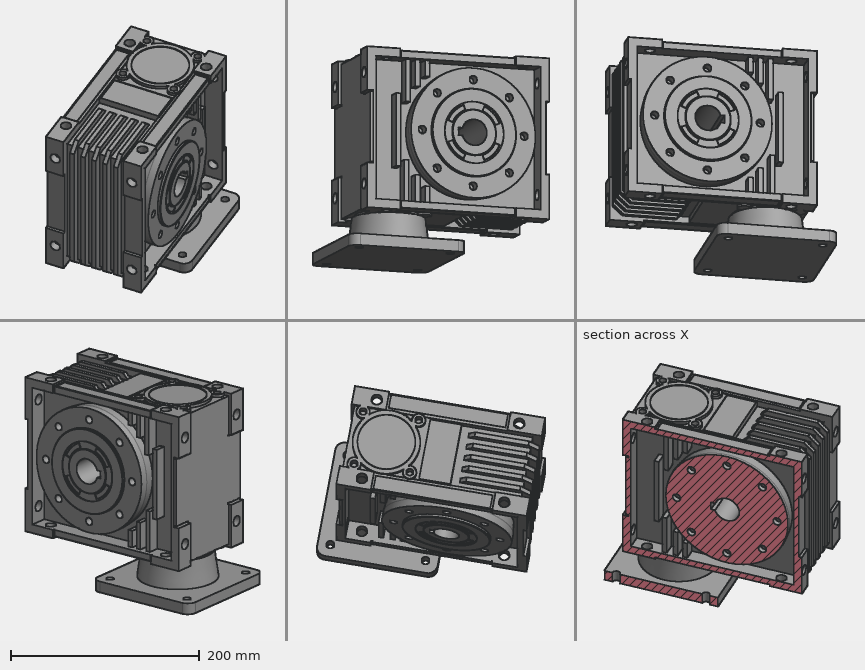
import cadquery as cq
import math


housing_front_y = -85.9
housing_rear_y = 119.0
housing_height = 173.8
housing_center_z = -0.7
housing_half_height = housing_height / 2
housing_length = housing_rear_y - housing_front_y
housing_center_y = (housing_rear_y + housing_front_y) / 2

frame_inner_x = 35.5
frame_outer_x = 56.3
frame_wall = 9.7
pocket_half_height = housing_half_height - frame_wall
corner_pad_length = 37.0
bar_half_height = 39.3
front_relief = 3.5
rear_relief = 6.5
cap_relief = 2.3
side_relief = 1.1
strip_height = 0.5
strip_inner_x = 38.9
strip_outer_x = 54.0
strip_end_gap = 2.5
panel_front_gap = 1.0
panel_rear_gap = 1.5
rear_plate_inset = 0.2
rear_plate_end_gap = 1.4
mount_hole_dia = 11.3
mount_hole_x = 45.2
mount_hole_z = 60.1
mount_hole_front_y = -60.0
mount_hole_rear_y = 93.5

core_front_y = housing_front_y + frame_wall
core_rear_y = 115.7
block_front_y = 0.2
block_half_height = 83.6
name_pad_width = 68.3
name_pad_length = 33.7
name_pad_height = 1.0

fin_count = 5
fin_pitch = 12.9
fin_width = 5.0
fin_front_y = -85.0
fin_rear_y = -8.8
fin_half_height = 84.0
fin_chamfer_y = 11.3
fin_chamfer_z = 10.2
fin_height = fin_half_height - pocket_half_height

flange_size = 130.0
flange_rear_y = 140.1
input_y = flange_rear_y - flange_size / 2
ring_radius = 36.0
cover_radius = 30.7
cover_recess = 1.0
ear_count = 4
ear_radius = 7.2
ear_circle_radius = 42.3
ear_first_angle = 45.9
ear_hole_dia = 7.7
ear_hole_depth = 9.0
cone_top_radius = 39.0
cone_bottom_radius = 43.5
cone_height = 30.7
flange_thickness = 12.5
flange_corner_radius = 10.0
flange_hole_spacing = 102.5
flange_hole_dia = 8.4

disc_radius = 70.0
disc_root_radius = 68.5
disc_rim_x = 48.1
disc_outer_x = 57.0
boss_radius = 47.5
boss_outer_x = 60.3
disc_hole_count = 8
disc_hole_circle_radius = 57.5
disc_hole_dia = 8.4
disc_hole_depth = 11.3
seal_outer_radius = 33.2
seal_recess = 1.0
hub_radius = 24.9
hub_chamfer = 0.7
boss_chamfer = 0.7
window_count = 4
window_angle = 46.0
window_inner_radius = 25.8
window_outer_radius = 31.2
window_depth = 1.0
bore_radius = 14.0
key_width = 8.4
key_top = 17.9

rib_width = 5.2
rib_height = 13.0
center_rib_y = 81.4
upper_ribs = ((70.5, 45.7), (59.7, 28.5), (48.8, 17.2))
lower_ribs = ((72.3, 45.7), (59.7, 30.3), (48.8, 18.8))


def block(x_range, y_range, z_range):
    """Box spanning the given ranges."""
    sizes = [high - low for low, high in (x_range, y_range, z_range)]
    corner = cq.Vector(x_range[0], y_range[0], z_range[0])
    return cq.Workplane("XY").box(*sizes, centered=False).translate(corner)


def disc(radius, start_x, end_x):
    """Solid cylinder on the output axis."""
    return cq.Workplane("YZ", origin=(start_x, 0, 0)).circle(radius).extrude(end_x - start_x)


def centered_z(half_height):
    """Z range centred on the housing."""
    return (housing_center_z - half_height, housing_center_z + half_height)


def frame():
    """Side frame on +X: a walled rectangle with raised corner pads and cross-drilled walls."""
    x_range = (frame_inner_x, frame_outer_x)
    tall_z = centered_z(housing_half_height)
    body = block(x_range, (housing_front_y, housing_rear_y), tall_z)

    bar_z = (-bar_half_height, bar_half_height)
    body = body.cut(block(x_range, (housing_front_y, housing_front_y + front_relief), bar_z))
    body = body.cut(block(x_range, (housing_rear_y - rear_relief, housing_rear_y), bar_z))
    plate_x = (frame_inner_x, frame_outer_x - rear_plate_inset)
    plate_y = (housing_rear_y - rear_relief, core_rear_y)
    plate_half_height = bar_half_height - rear_plate_end_gap
    body = body.union(block(plate_x, plate_y, (-plate_half_height, plate_half_height)))

    bar_y = (housing_front_y + corner_pad_length, housing_rear_y - corner_pad_length)
    panel_x = (frame_inner_x, frame_outer_x - side_relief)
    panel_y = (bar_y[0] + panel_front_gap, bar_y[1] - panel_rear_gap)
    strip_x = (strip_inner_x, strip_outer_x)
    strip_y = (bar_y[0] + strip_end_gap, bar_y[1] - strip_end_gap)
    bar_half_thickness = housing_half_height - cap_relief
    bar_core = block((frame_inner_x, strip_outer_x), bar_y, centered_z(bar_half_thickness))
    bar_panels = block(panel_x, panel_y, centered_z(bar_half_thickness))
    bar_strips = block(strip_x, strip_y, centered_z(bar_half_thickness + strip_height))
    body = body.cut(block(x_range, bar_y, tall_z)).union(bar_core)
    body = body.union(bar_panels).union(bar_strips)

    pocket_y = (housing_front_y + frame_wall, housing_rear_y - frame_wall)
    body = body.cut(block(x_range, pocket_y, centered_z(pocket_half_height)))

    long_holes = (
        cq.Workplane("XZ", origin=(mount_hole_x, housing_center_y, 0))
        .pushPoints([(0, mount_hole_z), (0, -mount_hole_z)])
        .circle(mount_hole_dia / 2)
        .extrude(housing_length / 2, both=True)
    )
    upright_holes = (
        cq.Workplane("XY", origin=(mount_hole_x, 0, housing_center_z))
        .pushPoints([(0, mount_hole_front_y), (0, mount_hole_rear_y)])
        .circle(mount_hole_dia / 2)
        .extrude(housing_half_height, both=True)
    )
    return body.cut(long_holes).cut(upright_holes)


def core():
    """Central casting with a taller rear block and a name plate pad on top."""
    x_range = (-frame_inner_x, frame_inner_x)
    body = block(x_range, (core_front_y, core_rear_y), centered_z(pocket_half_height))
    body = body.union(block(x_range, (block_front_y, core_rear_y), centered_z(block_half_height)))
    name_pad = block(
        (-name_pad_width / 2, name_pad_width / 2),
        (block_front_y, block_front_y + name_pad_length),
        (housing_center_z, housing_center_z + block_half_height + name_pad_height),
    )
    return body.union(name_pad)


def fins():
    """Upright fins that wrap the top, front and bottom of the core."""
    upper_half = [
        (fin_rear_y, pocket_half_height),
        (fin_rear_y - fin_height, fin_half_height),
        (fin_front_y + fin_chamfer_y, fin_half_height),
        (fin_front_y, fin_half_height - fin_chamfer_z),
    ]
    lower_half = [(y, -z) for y, z in reversed(upper_half)]
    first_x = -fin_pitch * (fin_count - 1) / 2
    fin = (
        cq.Workplane("YZ", origin=(first_x, 0, housing_center_z))
        .polyline(upper_half + lower_half)
        .close()
        .extrude(fin_width / 2, both=True)
    )
    body = fin
    for index in range(1, fin_count):
        body = body.union(fin.translate((index * fin_pitch, 0, 0)))
    return body


def bearing_ring():
    """Round bearing seat with screw ears on top of the core."""
    top = cq.Workplane("XY", origin=(0, input_y, housing_center_z + housing_half_height))
    ring_depth = housing_half_height - pocket_half_height
    ears = top.polarArray(ear_circle_radius, ear_first_angle, 360, ear_count)
    body = top.circle(ring_radius).extrude(-ring_depth)
    return body.union(ears.circle(ear_radius).extrude(-ring_depth))


def bearing_ring_cuts():
    """Cover recess and screw holes of the upper bearing seat."""
    top = cq.Workplane("XY", origin=(0, input_y, housing_center_z + housing_half_height))
    ears = top.polarArray(ear_circle_radius, ear_first_angle, 360, ear_count)
    holes = ears.circle(ear_hole_dia / 2).extrude(-ear_hole_depth)
    return top.circle(cover_radius).extrude(-cover_recess).union(holes)


def input_flange():
    """Cone below the housing that ends in a square motor flange."""
    cone_top_z = housing_center_z - housing_half_height
    cone = (
        cq.Workplane("XY", origin=(0, input_y, cone_top_z))
        .circle(cone_top_radius)
        .workplane(offset=-cone_height)
        .circle(cone_bottom_radius)
        .loft(combine=True)
    )
    plate = (
        cq.Workplane("XY", origin=(0, input_y, cone_top_z - cone_height))
        .rect(flange_size, flange_size)
        .extrude(-flange_thickness)
        .edges("|Z")
        .fillet(flange_corner_radius)
        .faces(">Z")
        .workplane()
        .rect(flange_hole_spacing, flange_hole_spacing, forConstruction=True)
        .vertices()
        .hole(flange_hole_dia)
    )
    return cone.union(plate)


def output_flange():
    """Output flange on +X: flared disc, raised boss and sunken shaft seal with four windows."""
    root = (
        cq.Workplane("YZ", origin=(frame_inner_x, 0, 0))
        .circle(disc_root_radius)
        .workplane(offset=disc_rim_x - frame_inner_x)
        .circle(disc_radius)
        .loft(combine=True)
    )
    body = root.union(disc(disc_radius, disc_rim_x, disc_outer_x))
    boss = disc(boss_radius, disc_outer_x, boss_outer_x).faces(">X").chamfer(boss_chamfer)
    body = body.union(boss)

    bolt_holes = (
        cq.Workplane("YZ", origin=(disc_outer_x, 0, 0))
        .polarArray(disc_hole_circle_radius, 0, 360, disc_hole_count)
        .circle(disc_hole_dia / 2)
        .extrude(-disc_hole_depth)
    )
    seal_x = boss_outer_x - seal_recess
    hub = disc(hub_radius, seal_x, boss_outer_x).faces(">X").chamfer(hub_chamfer)
    seal_groove = disc(seal_outer_radius, seal_x, boss_outer_x).cut(hub)
    body = body.cut(bolt_holes).cut(seal_groove)
    for index in range(window_count):
        middle_angle = 360 / window_count * (index + 0.5)
        body = body.cut(seal_window(middle_angle, seal_x))
    return body


def seal_window(middle_angle, seal_x):
    """Ring sector sunk into the seal face."""
    def point(radius, offset):
        angle = math.radians(middle_angle + offset)
        return (radius * math.cos(angle), radius * math.sin(angle))

    half_angle = window_angle / 2
    return (
        cq.Workplane("YZ", origin=(seal_x, 0, 0))
        .moveTo(*point(window_inner_radius, -half_angle))
        .lineTo(*point(window_outer_radius, -half_angle))
        .threePointArc(point(window_outer_radius, 0), point(window_outer_radius, half_angle))
        .lineTo(*point(window_inner_radius, half_angle))
        .threePointArc(point(window_inner_radius, 0), point(window_inner_radius, -half_angle))
        .close()
        .extrude(-window_depth)
    )


def pocket_ribs():
    """Stiffening ribs on the pocket floor beside the output flange."""
    bottom_z, top_z = centered_z(pocket_half_height)
    x_range = (frame_inner_x, frame_inner_x + rib_height)
    half_width = rib_width / 2
    body = block(
        x_range,
        (center_rib_y - half_width, center_rib_y + half_width),
        (-bar_half_height, bar_half_height),
    )
    for y, length in upper_ribs:
        body = body.union(block(x_range, (y - half_width, y + half_width), (top_z - length, top_z)))
    for y, length in lower_ribs:
        body = body.union(block(x_range, (y - half_width, y + half_width), (bottom_z, bottom_z + length)))
    return body


def shaft_bore():
    """Keyed bore through the whole part; the keyway points to +Y."""
    key_slot = block((-boss_outer_x, boss_outer_x), (0, key_top), (-key_width / 2, key_width / 2))
    return disc(bore_radius, -boss_outer_x, boss_outer_x).union(key_slot)


upper_ring = bearing_ring()
lower_ring = upper_ring.mirror("XY", (0, 0, housing_center_z))
result = core().union(fins()).union(upper_ring).union(lower_ring).union(input_flange())

side = frame().union(pocket_ribs()).union(output_flange())
result = result.union(side).union(side.mirror("YZ"))
result = result.cut(bearing_ring_cuts()).cut(shaft_bore())